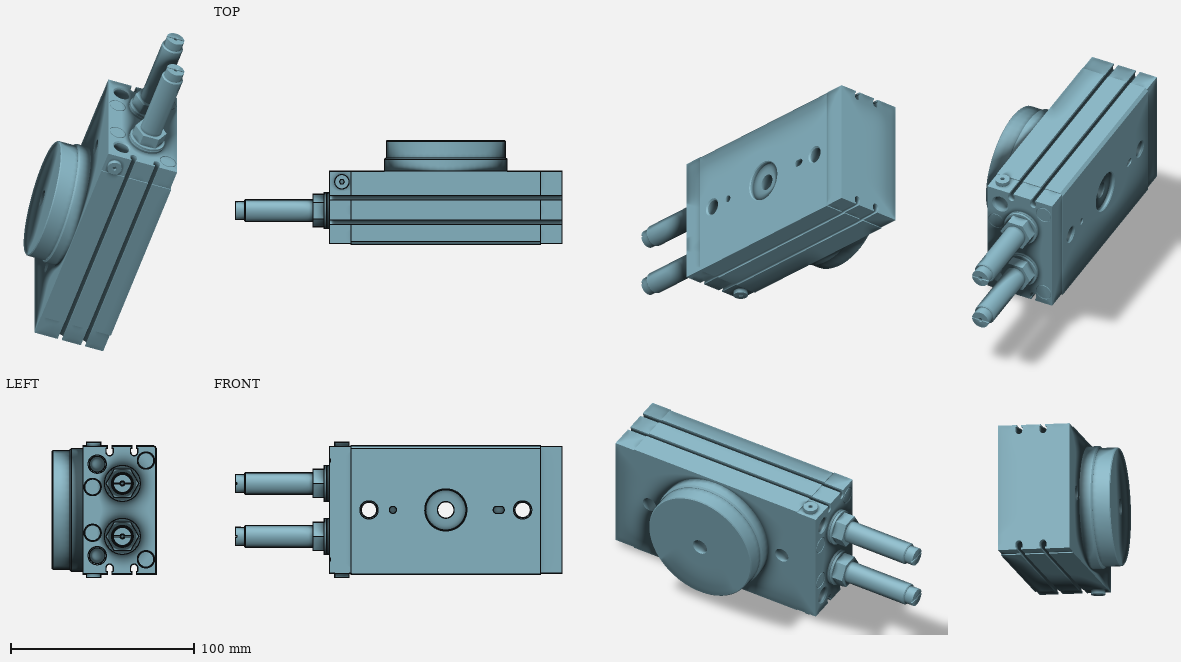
import cadquery as cq
import math


body_length = 103.5
body_depth = 40.2
body_height = 70.3
body_edge_chamfer = 1.6
cap_length = 11.8
cap_inset = 0.5
cap_height = body_height - 2 * cap_inset
cap_face_x = body_length / 2 + cap_length

total_depth = 57.0
flange_diameter = 67.1
flange_top_y = 47.3
table_diameter = 65.0
table_edge_chamfer = 0.5
flange_edge_chamfer = 0.9

bore_diameter = 9.0
pilot_diameter = 22.0
pilot_depth = 2.7
pilot_chamfer = 0.5
mount_spacing = 83.9
mount_diameter = 8.4
mount_mouth_diameter = 10.0
pin_spacing = 57.8
pin_diameter = 4.0
pin_slot_length = 6.0
pin_depth = 3.5

groove_positions_y = (12.1, 25.5)
groove_neck_width = 2.5
groove_bulb_diameter = 3.7
groove_depth = 5.5
groove_bulb_height = 4.0

port_y = 32.3
port_z = 25.0
port_diameter = 8.5
port_mouth_diameter = 10.0
port_depth = 9.0
cap_screws = ((34.8, 12.5), (5.7, 27.0))
cap_screw_head_diameter = 8.5
cap_screw_recess_diameter = 9.5
cap_screw_gap_depth = 0.5

plug_x = -56.8
plug_y = 34.3
plug_diameter = 7.9
plug_overall_height = 74.0
plug_socket_diameter = 2.7
plug_socket_depth = 1.5

total_length = 178.5
absorber_spacing = 29.0
absorber_y = 18.5
absorber_diameter = 12.0
absorber_chamfer = 0.5
absorber_reach = total_length - 2 * cap_face_x
tip_diameter = 10.0
tip_length = 5.0
nut_across_flats = 15.5
nut_length = 6.2
washer_diameter = 19.6
washer_thickness = 1.2
washer_gap = 0.4
washer_stack = 2 * washer_thickness + washer_gap
washer_gap_diameter = 18.5
tip_slot_width = 0.7
tip_slot_depth = 0.9
tip_hole_diameter = 2.0
tip_hole_mouth_diameter = 2.7
tip_hole_depth = 1.8

OVERLAP = 1.8


def cylinder(start, direction, diameter, length):
    """Cylinder from a start point along a direction."""
    solid = cq.Solid.makeCylinder(diameter / 2, length, cq.Vector(*start), cq.Vector(*direction))
    return cq.Workplane(solid)


def countersink(start, direction, mouth_diameter, hole_diameter):
    """45-degree cone that widens a hole to the mouth diameter at the start point."""
    depth = (mouth_diameter - hole_diameter) / 2
    cone = cq.Solid.makeCone(
        mouth_diameter / 2, hole_diameter / 2, depth, cq.Vector(*start), cq.Vector(*direction)
    )
    return cq.Workplane(cone)


def make_housing():
    body = cq.Workplane("XY").box(body_length, body_depth, body_height, centered=(True, False, True))
    body = body.edges("<Y and >Z").chamfer(body_edge_chamfer)
    caps = (
        cq.Workplane("XY")
        .box(2 * cap_face_x, body_depth - cap_inset, cap_height, centered=(True, False, True))
        .translate((0, cap_inset, 0))
    )
    middle = cq.Workplane("XY").box(body_length, 2 * body_depth, 2 * body_height)
    return body.union(caps.cut(middle))


def make_table():
    root_y = body_depth - OVERLAP
    flange = cylinder((0, root_y, 0), (0, 1, 0), flange_diameter, flange_top_y - root_y)
    flange = flange.edges(">Y").chamfer(flange_edge_chamfer)
    table = cylinder((0, body_depth, 0), (0, 1, 0), table_diameter, total_depth - body_depth)
    table = table.edges(">Y").chamfer(table_edge_chamfer)
    return flange.union(table)


def cut_mounting_face(part):
    inward = (0, 1, 0)
    part = part.cut(cylinder((0, 0, 0), inward, bore_diameter, total_depth))
    part = part.cut(cylinder((0, 0, 0), inward, pilot_diameter, pilot_depth))
    part = part.cut(countersink((0, 0, 0), inward, pilot_diameter + 2 * pilot_chamfer, pilot_diameter))
    for x in (-mount_spacing / 2, mount_spacing / 2):
        part = part.cut(cylinder((x, 0, 0), inward, mount_diameter, body_depth))
        part = part.cut(countersink((x, 0, 0), inward, mount_mouth_diameter, mount_diameter))
    part = part.cut(cylinder((-pin_spacing / 2, 0, 0), inward, pin_diameter, pin_depth))
    pin_slot = (
        cq.Workplane("XZ")
        .center(pin_spacing / 2, 0)
        .slot2D(pin_slot_length, pin_diameter)
        .extrude(-pin_depth)
    )
    return part.cut(pin_slot)


def cut_sensor_grooves(part):
    run = 2 * cap_face_x
    bulb_center_height = body_height / 2 - groove_depth + groove_bulb_diameter / 2
    shoulder_height = body_height / 2 - groove_depth + groove_bulb_height
    for y in groove_positions_y:
        for side in (-1, 1):
            bulb = cylinder((-cap_face_x, y, side * bulb_center_height), (1, 0, 0), groove_bulb_diameter, run)
            shoulder = (
                cq.Workplane("XY")
                .box(run, groove_bulb_diameter, shoulder_height - bulb_center_height)
                .translate((0, y, side * (shoulder_height + bulb_center_height) / 2))
            )
            neck = (
                cq.Workplane("XY")
                .box(run, groove_neck_width, groove_depth)
                .translate((0, y, side * (bulb_center_height + groove_depth / 2)))
            )
            part = part.cut(bulb).cut(shoulder).cut(neck)
    return part


def cut_end_cap(part):
    inward = (1, 0, 0)
    for side in (-1, 1):
        port = (-cap_face_x, port_y, side * port_z)
        part = part.cut(cylinder(port, inward, port_diameter, port_depth))
        part = part.cut(countersink(port, inward, port_mouth_diameter, port_diameter))
        for y, z in cap_screws:
            seat = (-cap_face_x, y, side * z)
            gap = cylinder(seat, inward, cap_screw_recess_diameter, cap_screw_gap_depth)
            head = cylinder(seat, inward, cap_screw_head_diameter, cap_screw_gap_depth)
            part = part.cut(gap.cut(head))
    return part


def make_plug(side):
    top = plug_overall_height / 2
    root = cap_height / 2 - OVERLAP
    plug = cylinder((plug_x, plug_y, root), (0, 0, 1), plug_diameter, top - root)
    socket = (
        cq.Workplane("XY", origin=(plug_x, plug_y, top))
        .polygon(6, plug_socket_diameter)
        .extrude(-plug_socket_depth)
    )
    plug = plug.cut(socket)
    if side < 0:
        plug = plug.mirror("XY")
    return plug


def make_absorber(z):
    """Shock absorber with its washers, lock nut and slotted adjusting tip."""

    def rod(diameter, start, end):
        """Cylinder between two distances out from the cap face."""
        return cylinder((-cap_face_x - start, absorber_y, z), (-1, 0, 0), diameter, end - start)

    barrel_end = absorber_reach - tip_length
    barrel = rod(absorber_diameter, -OVERLAP, barrel_end).edges("<X").chamfer(absorber_chamfer)
    absorber = barrel.union(rod(tip_diameter, 0, absorber_reach))

    absorber = absorber.union(rod(washer_gap_diameter, -OVERLAP, washer_stack))
    absorber = absorber.union(rod(washer_diameter, 0, washer_thickness))
    absorber = absorber.union(rod(washer_diameter, washer_thickness + washer_gap, washer_stack))

    nut_across_corners = nut_across_flats / math.cos(math.pi / 6)
    nut = (
        cq.Workplane("YZ", origin=(-cap_face_x - washer_stack, absorber_y, z))
        .polygon(6, nut_across_corners)
        .extrude(-nut_length)
    )
    absorber = absorber.union(nut)

    tip = (-cap_face_x - absorber_reach, absorber_y, z)
    slot = cq.Workplane("XY").box(2 * tip_slot_depth, absorber_diameter, tip_slot_width).translate(tip)
    absorber = absorber.cut(slot)
    absorber = absorber.cut(countersink(tip, (1, 0, 0), tip_hole_mouth_diameter, tip_hole_diameter))
    return absorber.cut(cylinder(tip, (1, 0, 0), tip_hole_diameter, tip_hole_depth))


result = make_housing().union(make_table())
result = cut_mounting_face(result)
result = cut_sensor_grooves(result)
result = cut_end_cap(result)
for side in (-1, 1):
    result = result.union(make_plug(side))
    result = result.union(make_absorber(side * absorber_spacing / 2))